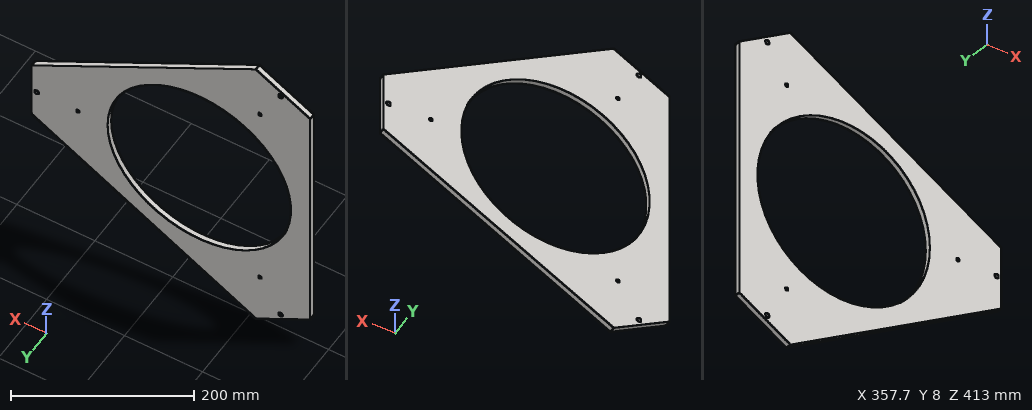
import cadquery as cq
import math

height = 413.0
thickness = 8.0
corner_edge_distance = 215.2
opening_diameter = 235.0
inner_hole_diameter = 3.8
inner_hole_radius = 155.7
outer_hole_diameter = 5.5
outer_hole_radius = 208.5

corner_angles = (0, 120, 240)
width = height * math.cos(math.radians(30))
long_edge_distance = width - corner_edge_distance
corner_half_length = (2 * long_edge_distance - corner_edge_distance) / math.sqrt(3)


def rotated(x, z, angle):
    """Turn a point about the plate centre by an angle in degrees."""
    turn = math.radians(angle)
    return (
        x * math.cos(turn) - z * math.sin(turn),
        x * math.sin(turn) + z * math.cos(turn),
    )


def make_plate():
    """Six-sided plate centred on the XZ plane."""
    outline = []
    for angle in corner_angles:
        for z in (-corner_half_length, corner_half_length):
            outline.append(rotated(corner_edge_distance, z, angle))
    return cq.Workplane("XZ").polyline(outline).close().extrude(thickness / 2, both=True)


def make_hole_cutters(diameter, radius):
    """One through-hole cutter towards each corner."""
    centres = [rotated(radius, 0, angle) for angle in corner_angles]
    holes = cq.Workplane("XZ").pushPoints(centres).circle(diameter / 2)
    return holes.extrude(thickness, both=True)


opening = cq.Workplane("XZ").circle(opening_diameter / 2).extrude(thickness, both=True)

result = (
    make_plate()
    .cut(opening)
    .cut(make_hole_cutters(inner_hole_diameter, inner_hole_radius))
    .cut(make_hole_cutters(outer_hole_diameter, outer_hole_radius))
)